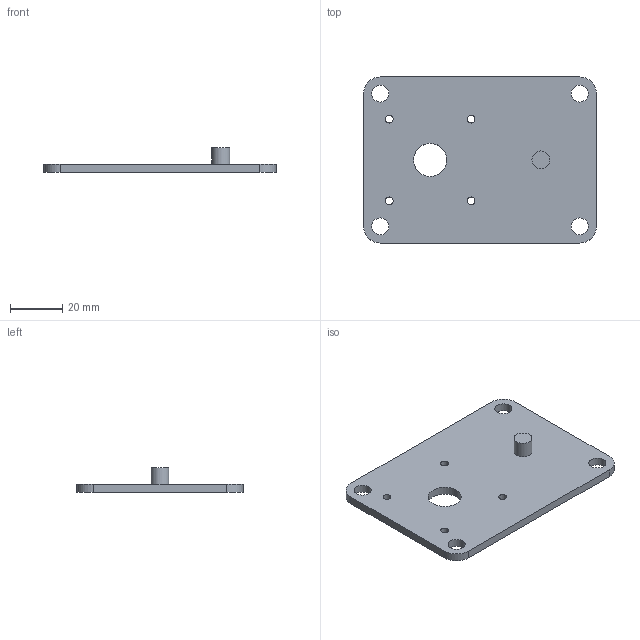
import cadquery as cq

plate_length = 88.9
plate_width = 63.5
plate_thickness = 3.175
corner_radius = 6.35

corner_hole_diameter = 6.53
corner_hole_spacing_x = plate_length - 2 * corner_radius
corner_hole_spacing_y = plate_width - 2 * corner_radius

opening_x = -19.05
opening_diameter = 12.7
screw_hole_diameter = 3.0
screw_hole_spacing = 31.25

pin_x = 23.28
pin_diameter = 6.86
pin_height = 6.35


def make_plate():
    """Flat plate with rounded corners, centred on the origin and resting on Z = 0."""
    blank = cq.Workplane("XY").box(
        plate_length, plate_width, plate_thickness, centered=(True, True, False)
    )
    return blank.edges("|Z").fillet(corner_radius)


def make_hole_pattern(center_x, spacing_x, spacing_y, diameter):
    """Cutters for four through holes at the corners of a rectangle centred on (center_x, 0)."""
    return (
        cq.Workplane("XY")
        .center(center_x, 0)
        .rect(spacing_x, spacing_y, forConstruction=True)
        .vertices()
        .circle(diameter / 2)
        .extrude(plate_thickness)
    )


def make_cylinder(center_x, diameter, height):
    """Upright cylinder on the plate's long centreline, starting at the underside."""
    return cq.Workplane("XY").center(center_x, 0).circle(diameter / 2).extrude(height)


corner_holes = make_hole_pattern(
    0, corner_hole_spacing_x, corner_hole_spacing_y, corner_hole_diameter
)
screw_holes = make_hole_pattern(
    opening_x, screw_hole_spacing, screw_hole_spacing, screw_hole_diameter
)
opening = make_cylinder(opening_x, opening_diameter, plate_thickness)
pin = make_cylinder(pin_x, pin_diameter, plate_thickness + pin_height)

result = make_plate().cut(corner_holes).cut(screw_holes).cut(opening).union(pin).clean()